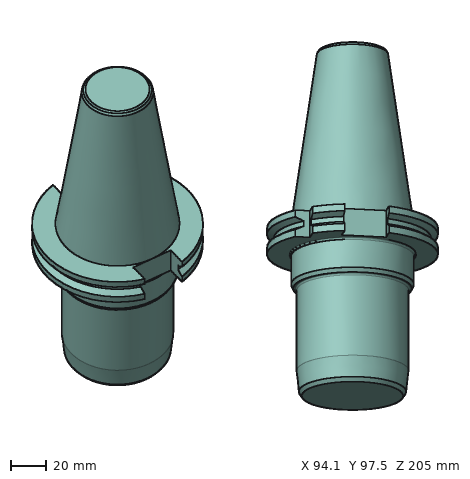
import cadquery as cq
import math

total_length = 205.0

taper_length = 105.1
taper_ratio = 7 / 24
large_end_diameter = 71.0
small_end_bevel_height = 2.0
small_end_diameter = large_end_diameter - (taper_length - small_end_bevel_height) * taper_ratio
tip_bevel_height = 0.6
tip_bevel_diameter = 39.0
tip_face_diameter = 36.5

flange_diameter = 97.5
flange_top = 0.0
flange_thickness = 15.8
flange_bottom = flange_top - flange_thickness
groove_depth = 3.9
groove_floor_width = 3.0
groove_flank_angle = 30
groove_flank_height = groove_depth * math.tan(math.radians(groove_flank_angle))
groove_offset = 7.8
groove_middle = flange_top - groove_offset

slot_width = 25.6
left_slot_floor = 38.0
right_slot_floor = 35.5
notch_corner = 30.0

collar_diameter = 70.0
collar_fillet = 1.2
collar_end = flange_bottom - 21.3
collar_chamfer_width = 1.2
collar_chamfer_height = 2.5
sleeve_diameter = 64.0
sleeve_fillet = 1.0
nose_bottom = taper_length - total_length
nose_cone_height = 12.5
nose_chamfer_height = 2.5
nose_cone_diameter = 61.3
nose_end_diameter = 57.8


def make_taper():
    """Conical shank with a double bevel at its small end."""
    return (
        cq.Workplane("XZ")
        .moveTo(0, flange_top)
        .lineTo(large_end_diameter / 2, flange_top)
        .lineTo(small_end_diameter / 2, taper_length - small_end_bevel_height)
        .lineTo(tip_bevel_diameter / 2, taper_length - tip_bevel_height)
        .lineTo(tip_face_diameter / 2, taper_length)
        .lineTo(0, taper_length)
        .close()
        .revolve(360, (0, 0), (0, 1))
    )


def make_flange():
    """Gripper flange with a V groove, two drive slots and a square notch."""
    outer = flange_diameter / 2
    floor = outer - groove_depth
    half_floor = groove_floor_width / 2
    half_mouth = half_floor + groove_flank_height
    flange = (
        cq.Workplane("XZ")
        .moveTo(0, flange_bottom)
        .lineTo(outer, flange_bottom)
        .lineTo(outer, groove_middle - half_mouth)
        .lineTo(floor, groove_middle - half_floor)
        .lineTo(floor, groove_middle + half_floor)
        .lineTo(outer, groove_middle + half_mouth)
        .lineTo(outer, flange_top)
        .lineTo(0, flange_top)
        .close()
        .revolve(360, (0, 0), (0, 1))
    )
    base = cq.Workplane("XY").workplane(offset=flange_bottom)
    for side, slot_floor in ((-1, left_slot_floor), (1, right_slot_floor)):
        slot = (
            base.center(side * (slot_floor + outer / 2), 0)
            .rect(outer, slot_width)
            .extrude(flange_thickness)
        )
        flange = flange.cut(slot)
    notch_center = notch_corner + outer / 2
    notch = base.center(-notch_center, notch_center).rect(outer, outer).extrude(flange_thickness)
    return flange.cut(notch)


def make_body():
    """Collar, sleeve and tapered nose below the flange."""
    collar = collar_diameter / 2
    sleeve = sleeve_diameter / 2
    shoulder = collar_end + sleeve_fillet
    cone_bottom = nose_bottom + nose_chamfer_height
    diagonal = math.sqrt(0.5)
    return (
        cq.Workplane("XZ")
        .moveTo(0, flange_bottom)
        .lineTo(collar + collar_fillet, flange_bottom)
        .threePointArc(
            (
                collar + collar_fillet * (1 - diagonal),
                flange_bottom - collar_fillet * (1 - diagonal),
            ),
            (collar, flange_bottom - collar_fillet),
        )
        .lineTo(collar, shoulder + collar_chamfer_height)
        .lineTo(collar - collar_chamfer_width, shoulder)
        .lineTo(sleeve + sleeve_fillet, shoulder)
        .threePointArc(
            (
                sleeve + sleeve_fillet * (1 - diagonal),
                shoulder - sleeve_fillet * (1 - diagonal),
            ),
            (sleeve, collar_end),
        )
        .lineTo(sleeve, cone_bottom + nose_cone_height)
        .lineTo(nose_cone_diameter / 2, cone_bottom)
        .lineTo(nose_end_diameter / 2, nose_bottom)
        .lineTo(0, nose_bottom)
        .close()
        .revolve(360, (0, 0), (0, 1))
    )


result = make_taper().union(make_flange()).union(make_body())